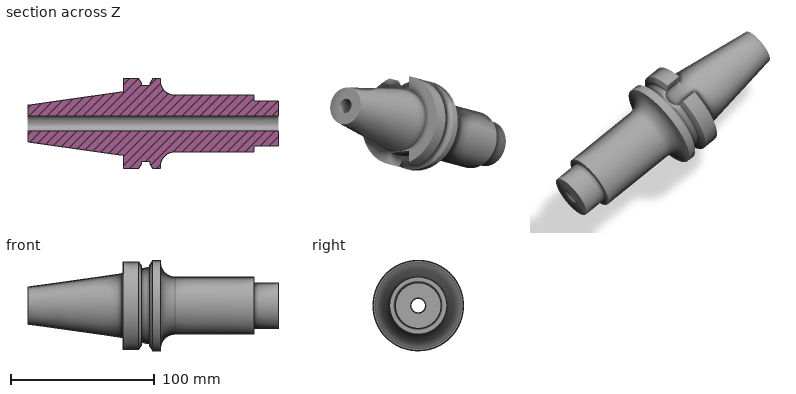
import cadquery as cq

total_length = 174.7

taper_length = 65.4
taper_small_radius = 13.0
taper_large_radius = 22.2

flange_start = 66.4
collar_end = 92.5
flange_radius = 31.54
rim_width = 10.8
collar_rim_width = 5.5
chamfer_length = 2.1
chamfer_height = 3.5
groove_radius = 26.5

body_radius = 20.0
fillet_radius = 10.0
spigot_start = 157.6
spigot_radius = 15.9
bore_radius = 5.0

slot_width = 16.3
slot_end = 83.5
slot_floor_radius = 22.4


def turned_body():
    """Revolve the half profile about the X axis."""
    rim_end = flange_start + rim_width
    groove_start = rim_end + chamfer_length
    collar_rim_start = collar_end - collar_rim_width
    groove_end = collar_rim_start - chamfer_length
    chamfer_foot = flange_radius - chamfer_height
    fillet_end = collar_end + fillet_radius

    profile = (
        cq.Workplane("XY")
        .lineTo(0, taper_small_radius)
        .lineTo(taper_length, taper_large_radius)
        .lineTo(flange_start, taper_large_radius)
        .lineTo(flange_start, flange_radius)
        .lineTo(rim_end, flange_radius)
        .lineTo(groove_start, chamfer_foot)
        .lineTo(groove_start, groove_radius)
        .lineTo(groove_end, groove_radius)
        .lineTo(groove_end, chamfer_foot)
        .lineTo(collar_rim_start, flange_radius)
        .lineTo(collar_end, flange_radius)
        .lineTo(collar_end, body_radius + fillet_radius)
        .radiusArc((fillet_end, body_radius), -fillet_radius)
        .lineTo(spigot_start, body_radius)
        .lineTo(spigot_start, spigot_radius)
        .lineTo(total_length, spigot_radius)
        .lineTo(total_length, 0)
        .close()
    )
    return profile.revolve(360, (0, 0, 0), (1, 0, 0))


def drive_slot():
    """Round-ended cutter for the +Z slot, open toward the taper."""
    half_width = slot_width / 2
    straight_end = slot_end - half_width
    return (
        cq.Workplane("XY", origin=(0, 0, slot_floor_radius))
        .moveTo(0, -half_width)
        .lineTo(straight_end, -half_width)
        .threePointArc((slot_end, 0), (straight_end, half_width))
        .lineTo(0, half_width)
        .close()
        .extrude(flange_radius)
    )


def bore():
    """Straight hole along the whole axis."""
    return cq.Workplane("YZ").circle(bore_radius).extrude(total_length)


upper_slot = drive_slot()
lower_slot = upper_slot.mirror("XY")
result = turned_body().cut(upper_slot).cut(lower_slot).cut(bore())